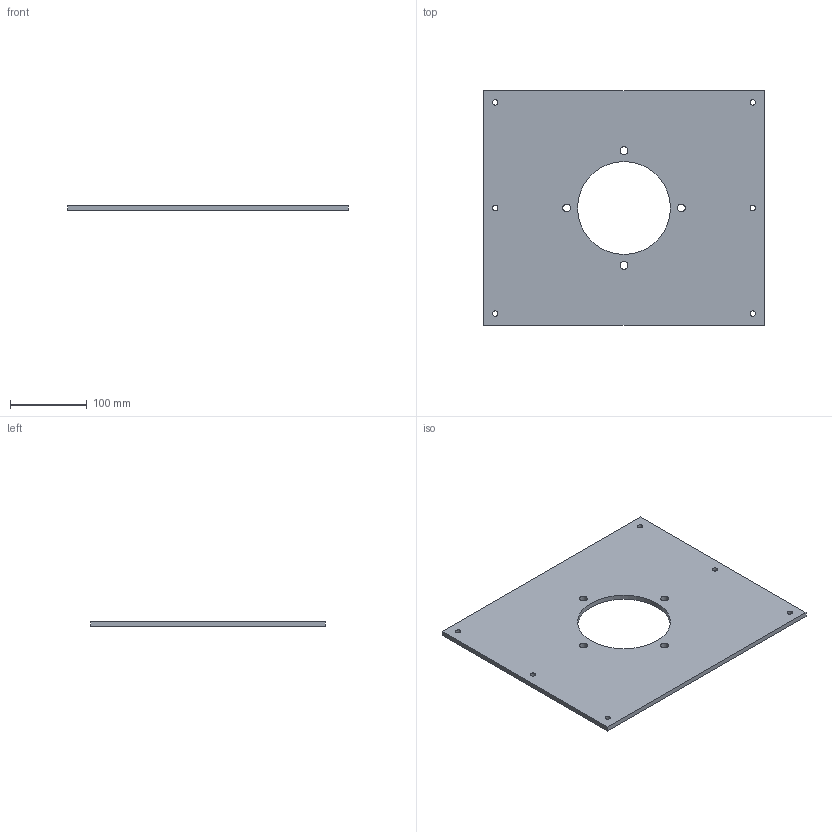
import cadquery as cq

length = 364.8
width = 304.8
thickness = 6.35

opening_diameter = 120.65
bolt_circle_diameter = 149.225
bolt_hole_count = 4
bolt_hole_diameter = 10.2

mount_edge_inset = 15.0
mount_hole_diameter = 7.0
mount_column_spacing = length - 2 * mount_edge_inset
mount_row_spacing = width / 2 - mount_edge_inset
mount_columns = 2
mount_rows = 3


def make_plate():
    """Flat plate centred on the Z axis, resting on Z = 0."""
    return cq.Workplane("XY").box(length, width, thickness, centered=(True, True, False))


def cut_opening(plate):
    """Large round opening through the centre."""
    return plate.faces(">Z").workplane(origin=(0, 0, 0)).hole(opening_diameter)


def cut_bolt_holes(plate):
    """Through holes evenly spaced on a circle around the opening."""
    bolt_circle_radius = bolt_circle_diameter / 2
    return (
        plate.faces(">Z")
        .workplane(origin=(0, 0, 0))
        .polarArray(bolt_circle_radius, 0, 360, bolt_hole_count)
        .hole(bolt_hole_diameter)
    )


def cut_mount_holes(plate):
    """Through holes in two columns: at the corners and halfway between them."""
    return (
        plate.faces(">Z")
        .workplane(origin=(0, 0, 0))
        .rarray(mount_column_spacing, mount_row_spacing, mount_columns, mount_rows)
        .hole(mount_hole_diameter)
    )


result = cut_mount_holes(cut_bolt_holes(cut_opening(make_plate())))